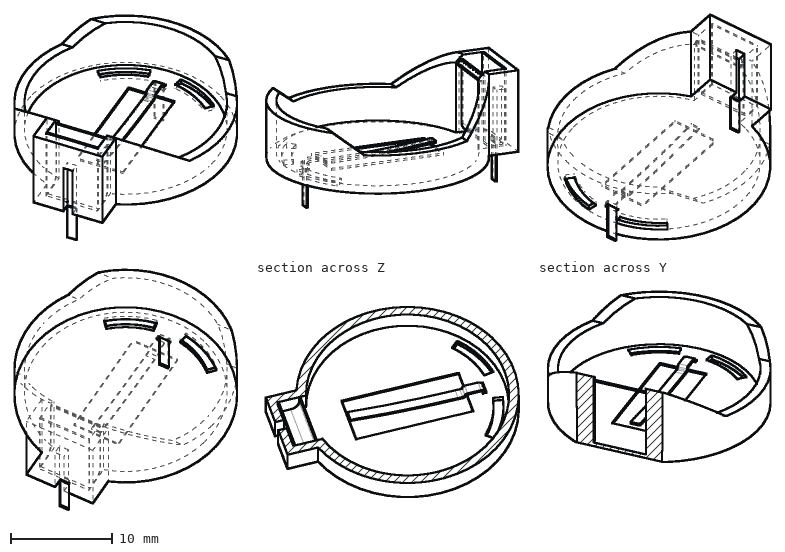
import cadquery as cq
import math

outer_radius = 11.0
wall = 1.0
inner_radius = outer_radius - wall
floor_top = 0.5
back_height = 6.0
side_height = 4.0
back_slope_top_y = 8.0
back_slope_foot_y = 5.5
front_slope_foot_y = -5.51

box_half_width = 3.75
box_height = 8.5
box_front_y = outer_radius - 24.5
box_back_y = -math.sqrt(outer_radius**2 - box_half_width**2)
opening_half_width = 2.8
box_front_wall = 0.93
opening_front_y = box_front_y + box_front_wall
opening_back_y = -9.3
front_slot_height = 5.54

sheet = 0.17
pin_width = 1.0
pin_bottom = -4.0

pin_offset = 0.05
spring_bend_radius = 0.85
spring_back_y = -10.35
spring_top_z = 8.04
lip_end_y = -9.8

vent_outer_radius = 9.48
vent_inner_radius = 8.5
vent_start_angle = 48
vent_end_angle = 80
recess_width = 5.0
recess_length = 12.05
recess_depth = 0.2
pin_hole_width = 1.3
pin_hole_back_y = 7.96
pin_hole_front_y = 7.57

strip_sheet = 0.2
strip_back_y = 7.86
strip_bend_radius = 0.45
strip_step_back_y = 6.05
strip_step_front_y = 5.54
strip_flat_end_y = 5.07
strip_front_y = -recess_length / 2
strip_rise = 0.64
strip_clearance = 0.2


def block(x_size, y_min, y_max, z_min, z_max):
    """Box centred on X = 0."""
    return cq.Workplane("XY").box(x_size, y_max - y_min, z_max - z_min, centered=(True, False, False)).translate(
        (0, y_min, z_min)
    )


def extrude_side_profile(profile, width):
    """Extrude a closed YZ profile symmetrically about X = 0."""
    return profile.close().extrude(width / 2, both=True)


def make_ring():
    """Round cup whose rim steps down at the sides and climbs to the box."""
    cup = cq.Workplane("XY").circle(outer_radius).extrude(box_height)
    cavity = cq.Workplane("XY").workplane(offset=floor_top).circle(inner_radius).extrude(box_height)
    rim_profile = (
        cq.Workplane("YZ")
        .moveTo(outer_radius, 0)
        .lineTo(outer_radius, back_height)
        .lineTo(back_slope_top_y, back_height)
        .lineTo(back_slope_foot_y, side_height)
        .lineTo(front_slope_foot_y, side_height)
        .lineTo(box_back_y, box_height)
        .lineTo(box_back_y, 0)
    )
    return cup.cut(cavity).intersect(extrude_side_profile(rim_profile, 2 * outer_radius))


def make_vent(start_angle, end_angle):
    """Curved slot through the floor between two angles."""

    def point(radius, angle):
        return (radius * math.cos(math.radians(angle)), radius * math.sin(math.radians(angle)))

    middle_angle = (start_angle + end_angle) / 2
    return (
        cq.Workplane("XY")
        .moveTo(*point(vent_inner_radius, start_angle))
        .lineTo(*point(vent_outer_radius, start_angle))
        .threePointArc(point(vent_outer_radius, middle_angle), point(vent_outer_radius, end_angle))
        .lineTo(*point(vent_inner_radius, end_angle))
        .threePointArc(point(vent_inner_radius, middle_angle), point(vent_inner_radius, start_angle))
        .close()
        .extrude(floor_top)
    )


def make_front_terminal():
    """Front pin, plate and U-shaped spring ending in a lip over the cavity."""
    bottom = floor_top
    bend_center_y = spring_back_y - spring_bend_radius
    bend_center_z = bottom + sheet + spring_bend_radius
    outer_bend = spring_bend_radius + sheet
    leg_front_y = spring_back_y + sheet
    lip_drop = lip_end_y - leg_front_y
    profile = (
        cq.Workplane("YZ")
        .moveTo(opening_front_y, bottom)
        .lineTo(bend_center_y, bottom)
        .radiusArc((leg_front_y, bend_center_z), -outer_bend)
        .lineTo(leg_front_y, spring_top_z - sheet)
        .lineTo(lip_end_y, spring_top_z - sheet - lip_drop)
        .lineTo(lip_end_y, spring_top_z - lip_drop)
        .lineTo(leg_front_y, spring_top_z)
        .lineTo(spring_back_y, spring_top_z)
        .lineTo(spring_back_y, bend_center_z)
        .radiusArc((bend_center_y, bottom + sheet), spring_bend_radius)
        .lineTo(opening_front_y + sheet, bottom + sheet)
        .lineTo(opening_front_y + sheet, box_height)
        .lineTo(opening_front_y, box_height)
    )
    spring = extrude_side_profile(profile, 2 * opening_half_width)
    pin_root = block(pin_width, opening_front_y, opening_front_y + sheet, 0, floor_top)
    pin_front_y = opening_front_y - pin_offset
    pin = block(pin_width, pin_front_y, pin_front_y + sheet, pin_bottom, 0)
    return spring.union(pin_root).union(pin)


def make_contact_strip():
    """Rear pin bent onto the floor, stepping into the recess and bowing up to the front."""
    high_bottom = floor_top + strip_clearance
    high = high_bottom + strip_sheet
    low_bottom = floor_top - recess_depth
    low = low_bottom + strip_sheet
    bow_middle_y = (strip_flat_end_y + strip_front_y) / 2
    bow_middle_rise = strip_rise / 4
    step_middle_y = (strip_step_back_y + strip_step_front_y) / 2
    pin_front_y = strip_back_y - strip_sheet
    profile = (
        cq.Workplane("YZ")
        .moveTo(strip_back_y, pin_bottom)
        .lineTo(strip_back_y, high - strip_bend_radius)
        .radiusArc((strip_back_y - strip_bend_radius, high), -strip_bend_radius)
        .lineTo(strip_step_back_y, high)
        .tangentArcPoint((step_middle_y, (high + low) / 2), relative=False)
        .tangentArcPoint((strip_step_front_y, low), relative=False)
        .lineTo(strip_flat_end_y, low)
        .threePointArc((bow_middle_y, low + bow_middle_rise), (strip_front_y, low + strip_rise))
        .lineTo(strip_front_y, low_bottom + strip_rise)
        .threePointArc((bow_middle_y, low_bottom + bow_middle_rise), (strip_flat_end_y, low_bottom))
        .lineTo(strip_step_front_y, low_bottom)
        .tangentArcPoint((step_middle_y, (high_bottom + low_bottom) / 2), relative=False)
        .tangentArcPoint((strip_step_back_y, high_bottom), relative=False)
        .lineTo(strip_back_y - strip_bend_radius, high_bottom)
        .radiusArc((pin_front_y, high - strip_bend_radius), strip_bend_radius - strip_sheet)
        .lineTo(pin_front_y, pin_bottom)
    )
    return extrude_side_profile(profile, pin_width)


def make_housing():
    """Cup, terminal box and contact strip as one solid."""
    box = block(2 * box_half_width, box_front_y, box_back_y, 0, box_height)
    box_floor = block(2 * opening_half_width, opening_front_y, opening_back_y, 0, floor_top)
    opening = block(2 * opening_half_width, opening_front_y, opening_back_y, floor_top, box_height)
    front_slot = block(pin_width, box_front_y, opening_front_y, 0, front_slot_height)
    pin_passage = block(pin_width, opening_front_y, opening_front_y + sheet, 0, floor_top)
    housing = make_ring().union(box).union(box_floor).cut(opening).cut(front_slot).cut(pin_passage)

    for start, end in ((vent_start_angle, vent_end_angle), (180 - vent_end_angle, 180 - vent_start_angle)):
        housing = housing.cut(make_vent(start, end))
    recess = block(recess_width, -recess_length / 2, recess_length / 2, floor_top - recess_depth, floor_top)
    pin_hole = block(pin_hole_width, pin_hole_front_y, pin_hole_back_y, 0, floor_top)
    return housing.cut(recess).cut(pin_hole).union(make_contact_strip())


housing = make_housing()
front_terminal = make_front_terminal()

result = cq.Compound.makeCompound([housing.val(), front_terminal.val()])